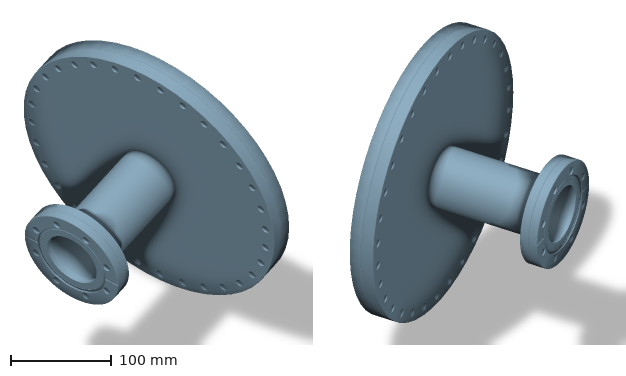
import cadquery as cq
import math

overall_length = 160.0
edge_chamfer = 0.45

large_diameter = 304.0
large_thickness = 26.0
large_bolt_circle = 284.0
large_bolt_hole = 8.5
large_bolt_count = 32
large_front = overall_length - large_thickness

small_diameter = 113.5
small_thickness = 19.0
small_bolt_circle = 92.0
small_bolt_hole = 8.5
small_bolt_count = 8
hub_diameter = 82.5
hub_neck_diameter = 70.5
shoulder_front = small_thickness / 2
leak_slot_width = 2.7
leak_slot_depth = 0.5

knife_diameter = 76.3
knife_tip_depth = 1.0
gasket_land_depth = 2.0
hub_face_depth = 1.2

tube_outer = 63.5
tube_inner = 60.2
socket_diameter = 63.8
lip_bore = 60.0
hub_lip_length = 7.5
hub_socket_floor = hub_face_depth + hub_lip_length
socket_depth = small_thickness - hub_socket_floor

rim_groove_width = 1.0
rim_groove_depth = 0.3


def cylinder(diameter, y_start, y_end):
    """Solid cylinder on the Y axis."""
    plane = cq.Plane(origin=(0, y_start, 0), xDir=(1, 0, 0), normal=(0, 1, 0))
    return cq.Workplane(plane).circle(diameter / 2).extrude(y_end - y_start)


def rim_groove(diameter, y_middle):
    """V-section ring to cut around the middle of a flange rim."""
    rim = diameter / 2
    half_width = rim_groove_width / 2
    profile = [
        (rim, y_middle - half_width),
        (rim - rim_groove_depth, y_middle),
        (rim, y_middle + half_width),
    ]
    return cq.Workplane("XY").polyline(profile).close().revolve(360, (0, 0, 0), (0, 1, 0))


def flange_blank(diameter, y_start, y_end):
    """Disc with chamfered edges and a grooved rim."""
    disc = cylinder(diameter, y_start, y_end).edges("%CIRCLE").chamfer(edge_chamfer)
    return disc.cut(rim_groove(diameter, (y_start + y_end) / 2))


def drill_bolt_circle(body, circle_diameter, hole_diameter, count, y_start, y_end):
    """Through holes on a circle, with the X axis midway between two holes."""
    hole = cylinder(hole_diameter, y_start, y_end)
    for index in range(count):
        angle = 2 * math.pi * (index + 0.5) / count
        x = circle_diameter / 2 * math.cos(angle)
        z = circle_diameter / 2 * math.sin(angle)
        body = body.cut(hole.translate((x, 0, z)))
    return body


def make_large_flange():
    """Large flange with a socket for the tube in its front face."""
    flange = flange_blank(large_diameter, large_front, overall_length)
    flange = drill_bolt_circle(
        flange, large_bolt_circle, large_bolt_hole, large_bolt_count, large_front, overall_length
    )
    flange = flange.cut(cylinder(lip_bore, large_front, overall_length))
    return flange.cut(cylinder(socket_diameter, large_front, large_front + socket_depth))


def make_tube():
    """Tube seated on the floors of both sockets."""
    y_start = hub_socket_floor
    y_end = large_front + socket_depth
    return cylinder(tube_outer, y_start, y_end).cut(cylinder(tube_inner, y_start, y_end))


def make_hub():
    """Hub with the knife edge in front and the tube socket behind."""
    bore = lip_bore / 2
    socket = socket_diameter / 2
    neck = hub_neck_diameter / 2
    head = hub_diameter / 2
    knife = knife_diameter / 2
    profile = [
        (bore, hub_face_depth),
        (knife, hub_face_depth),
        (knife, knife_tip_depth),
        (head, gasket_land_depth),
        (head, shoulder_front),
        (neck, shoulder_front),
        (neck, small_thickness),
        (socket, small_thickness),
        (socket, hub_socket_floor),
        (bore, hub_socket_floor),
    ]
    return cq.Workplane("XY").polyline(profile).close().revolve(360, (0, 0, 0), (0, 1, 0))


def make_bolt_ring():
    """Rotatable ring with bolt holes, a stepped bore and two leak-check slots."""
    ring = flange_blank(small_diameter, 0, small_thickness)
    ring = drill_bolt_circle(
        ring, small_bolt_circle, small_bolt_hole, small_bolt_count, 0, small_thickness
    )
    ring = ring.cut(cylinder(hub_neck_diameter, 0, small_thickness))
    ring = ring.cut(cylinder(hub_diameter, 0, shoulder_front))
    half_width = leak_slot_width / 2
    slots = (
        cq.Workplane("YZ")
        .moveTo(0, half_width)
        .threePointArc((leak_slot_depth, 0), (0, -half_width))
        .close()
        .extrude(small_diameter / 2, both=True)
    )
    return ring.cut(slots)


large_flange = make_large_flange()
tube = make_tube()
hub = make_hub()
bolt_ring = make_bolt_ring()

result = cq.Compound.makeCompound([large_flange.val(), tube.val(), hub.val(), bolt_ring.val()])